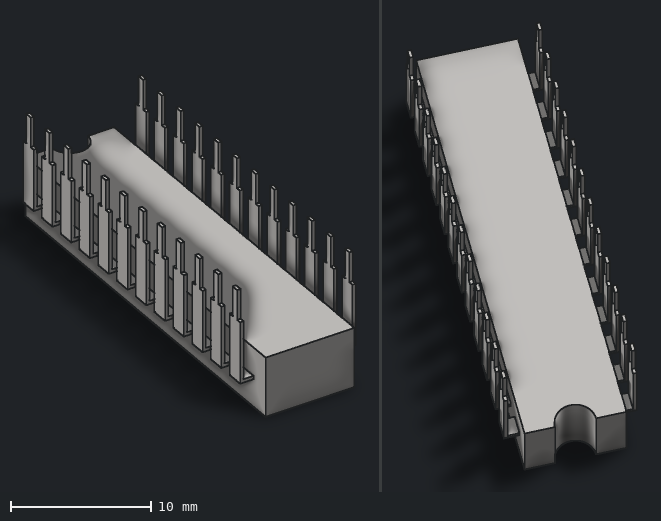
import cadquery as cq

body_length = 32.0
body_width = 7.5
body_height = 5.0
notch_radius = 1.5

pins_per_row = 12
pin_row_span = 27.5
first_pin_inset = 2.2
pin_thickness = 0.3
pin_bottom = 2.35
pin_top = 10.0
rows_outer_width = 9.75
leg_width = 1.4
tip_width = 0.6
tip_length = 2.5

pin_pitch = pin_row_span / (pins_per_row - 1)
leg_outer_y = rows_outer_width / 2
shoulder_z = pin_top - tip_length


def box_between(x_center, x_width, y_range, z_range):
    """Box centred on x_center that fills the given Y and Z ranges."""
    y_low, y_high = y_range
    z_low, z_high = z_range
    return (
        cq.Workplane("XY")
        .box(x_width, y_high - y_low, z_high - z_low, centered=(True, False, False))
        .translate((x_center, y_low, z_low))
    )


def make_body():
    """Block standing on Z = 0, with the notch cut through its full height."""
    block = cq.Workplane("XY").box(body_length, body_width, body_height, centered=(True, True, False))
    notch = cq.Workplane("XY").center(-body_length / 2, 0).circle(notch_radius).extrude(body_height)
    return block.cut(notch)


def make_pin(x_center):
    """Pin on the +Y side: flat foot, upright leg and narrower tip."""
    leg_y = (leg_outer_y - pin_thickness, leg_outer_y)
    foot = box_between(
        x_center, leg_width, (body_width / 2, leg_outer_y), (pin_bottom, pin_bottom + pin_thickness)
    )
    leg = box_between(x_center, leg_width, leg_y, (pin_bottom, shoulder_z))
    tip = box_between(x_center, tip_width, leg_y, (shoulder_z, pin_top))
    return foot.union(leg).union(tip)


result = make_body()
for index in range(pins_per_row):
    pin = make_pin(-body_length / 2 + first_pin_inset + index * pin_pitch)
    result = result.union(pin).union(pin.mirror("XZ"))